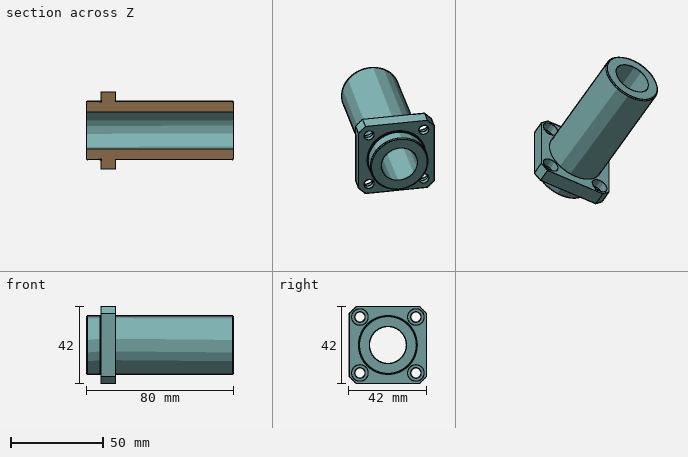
import cadquery as cq

length = 80.0
sleeve_diameter = 32.0
bore_diameter = 20.0
end_chamfer = 0.6

flange_start = 8.0
flange_thickness = 8.0
flange_side = 42.0
corner_chamfer = 3.8

hole_diameter = 5.5
hole_spacing = 30.4
counterbore_diameter = 9.0
counterbore_depth = 5.1

undercut_start = 7.5
undercut_depth = 0.2
undercut_inner_diameter = 31.2
undercut_outer_diameter = 32.5


def make_sleeve():
    """Cylinder along X with chamfered ends."""
    sleeve = cq.Workplane("YZ").circle(sleeve_diameter / 2).extrude(length)
    return sleeve.faces("<X or >X").chamfer(end_chamfer)


def make_flange():
    """Square plate with cut corners and four holes counterbored from the back."""
    plate = (
        cq.Workplane("YZ", origin=(flange_start, 0, 0))
        .rect(flange_side, flange_side)
        .extrude(flange_thickness)
        .edges("|X")
        .chamfer(corner_chamfer)
    )
    return (
        plate.faces(">X")
        .workplane()
        .rect(hole_spacing, hole_spacing, forConstruction=True)
        .vertices()
        .cboreHole(hole_diameter, counterbore_diameter, counterbore_depth)
    )


def make_undercut():
    """Ring cut around the sleeve and slightly into the front of the flange."""
    return (
        cq.Workplane("YZ", origin=(undercut_start, 0, 0))
        .circle(undercut_outer_diameter / 2)
        .circle(undercut_inner_diameter / 2)
        .extrude(flange_start + undercut_depth - undercut_start)
    )


bore = cq.Workplane("YZ").circle(bore_diameter / 2).extrude(length)
result = make_sleeve().union(make_flange()).cut(make_undercut()).cut(bore)